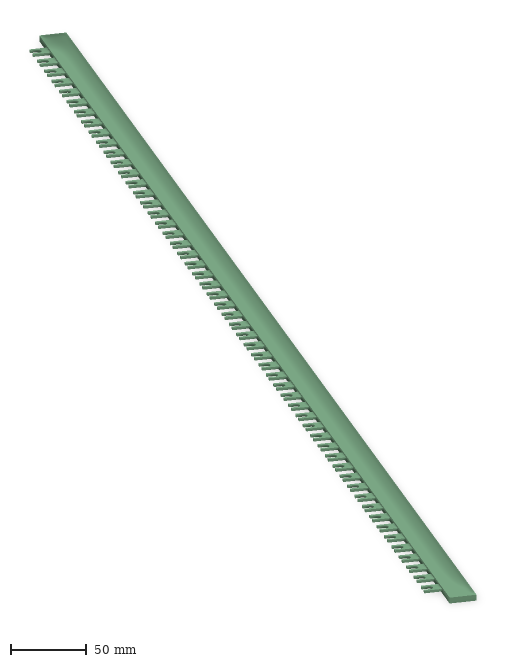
import cadquery as cq

rail_length = 1000.0
rail_depth = 18.5
rail_height = 4.2

lug_count = 54
lug_pitch = 18.0
lug_width = 9.0
lug_reach = 12.0
lug_thickness = 1.8

slot_width = 5.0
slot_depth = 7.0

overall_depth = rail_depth + lug_reach
back_y = overall_depth / 2
tip_y = -overall_depth / 2
rail_front_y = back_y - rail_depth
lug_left_x = -lug_width / 2
slot_left_x = -slot_width / 2
slot_round_start_y = tip_y + slot_depth - slot_width / 2
first_lug_x = -lug_pitch * (lug_count - 1) / 2


def make_rail():
    """Plain rectangular bar at the back of the part."""
    rail_center_y = (rail_front_y + back_y) / 2
    return cq.Workplane("XY").box(rail_length, rail_depth, rail_height).translate((0, rail_center_y, 0))


def make_lug():
    """Flat fork lug centred on X = 0 and on the mid-height of the rail."""
    return (
        cq.Workplane("XY")
        .moveTo(lug_left_x, rail_front_y)
        .lineTo(lug_left_x, tip_y)
        .lineTo(slot_left_x, tip_y)
        .lineTo(slot_left_x, slot_round_start_y)
        .threePointArc((0, tip_y + slot_depth), (-slot_left_x, slot_round_start_y))
        .lineTo(-slot_left_x, tip_y)
        .lineTo(-lug_left_x, tip_y)
        .lineTo(-lug_left_x, rail_front_y)
        .close()
        .extrude(lug_thickness / 2, both=True)
    )


def make_lug_row():
    """All the lugs, evenly spaced and centred along the rail."""
    lug = make_lug().val()
    return [lug.translate(cq.Vector(first_lug_x + index * lug_pitch, 0, 0)) for index in range(lug_count)]


result = cq.Workplane(make_rail().val().fuse(*make_lug_row())).solids()